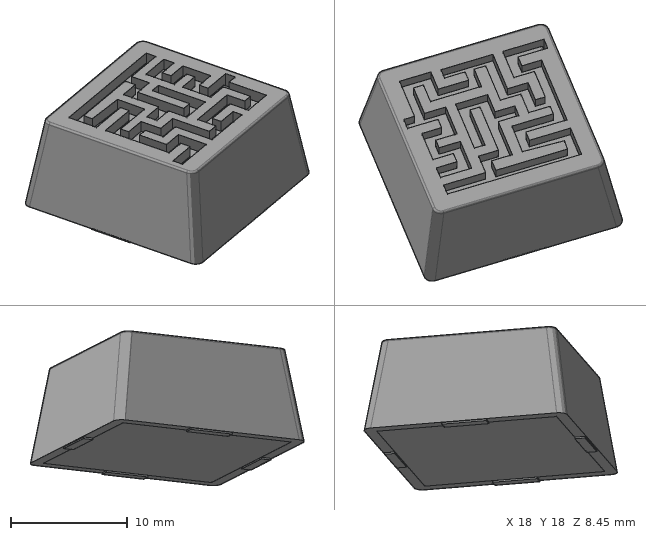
import cadquery as cq
import math

TOTAL_HEIGHT = 8.45
BASE_WIDTH = 18.0
TOP_WIDTH = 15.5
SHELL_HEIGHT = 8.3
CORNER_RADIUS = 0.75
TOP_ROUNDING = 0.2
WALL = 1.0
DRAFT = math.atan((BASE_WIDTH - TOP_WIDTH) / 2 / SHELL_HEIGHT)

FOOT_COUNT = 4
FOOT_LENGTH = 3.96
FOOT_DEPTH = 0.9
FOOT_INSET = 0.1
FOOT_HEIGHT = TOTAL_HEIGHT - SHELL_HEIGHT

CORE_WIDTH = BASE_WIDTH - 2 * WALL / math.cos(DRAFT)
CORE_HEIGHT = SHELL_HEIGHT - WALL

MAZE_OUTLINE = [
    (-6.1, 6.1), (-5.13, 6.1), (-5.13, 2.29), (-3.33, 2.29), (-3.33, 0.49),
    (1.39, 0.49), (1.39, 1.39), (-2.43, 1.39), (-2.43, 2.35), (2.35, 2.35),
    (2.35, -0.55), (0.49, -0.55), (0.49, -2.35), (-0.55, -2.35), (-0.55, -0.49),
    (-4.15, -0.49), (-4.15, 1.39), (-5.2, 1.39), (-5.2, -5.13), (-4.3, -5.18),
    (-4.15, -1.4), (-1.39, -1.44), (-1.39, -5.2), (-0.55, -5.2), (-0.55, -3.25),
    (1.45, -3.25), (1.45, -1.39), (5.2, -1.39), (5.2, -0.35), (3.33, -0.35),
    (3.33, 4.3), (5.13, 4.3), (5.13, 5.2), (2.35, 5.2), (2.35, 3.25),
    (-0.55, 3.25), (-0.55, 5.2), (-1.39, 5.2), (-1.39, 3.25), (-4.3, 3.25),
    (-4.3, 6.1), (-3.25, 6.1), (-3.25, 4.23), (-2.35, 4.23), (-2.35, 6.1),
    (0.49, 6.1), (0.49, 4.3), (1.39, 4.3), (1.39, 7.07), (2.35, 7.07),
    (2.35, 6.1), (6.17, 6.1), (6.17, 3.25), (4.3, 3.25), (4.3, 0.49),
    (5.2, 0.49), (5.2, 2.35), (6.1, 2.35), (6.1, -2.35), (2.35, -2.35),
    (2.35, -4.23), (0.49, -4.23), (0.49, -5.13), (3.25, -5.13), (3.25, -3.25),
    (6.1, -3.25), (6.1, -7.0), (5.13, -7.0), (5.13, -4.3), (4.15, -4.3),
    (4.15, -6.1), (-2.35, -6.1), (-2.35, -2.35), (-3.25, -2.35), (-3.25, -6.1),
    (-6.1, -6.1),
]


def drafted_block(width, height):
    """Square block standing on Z = 0, with all four sides leaning inwards."""
    return cq.Workplane("XY").rect(width, width).extrude(height, taper=math.degrees(DRAFT))


def round_corners(block):
    """Round the four leaning corner edges, which are the only ones not along X or Y."""
    return block.edges("not(|X or |Y)").fillet(CORNER_RADIUS)


def round_top(block):
    return block.faces(">Z").edges().fillet(TOP_ROUNDING)


def make_core():
    return round_top(drafted_block(CORE_WIDTH, CORE_HEIGHT))


def make_foot(angle):
    """Flat foot below the rim on the +X side, turned about Z by angle."""
    center_x = BASE_WIDTH / 2 - FOOT_INSET - FOOT_DEPTH / 2
    foot = cq.Workplane("XY").center(center_x, 0).rect(FOOT_DEPTH, FOOT_LENGTH).extrude(-FOOT_HEIGHT)
    return foot.rotate((0, 0, 0), (0, 0, 1), angle)


def make_shell(core):
    """Shell with the core's cavity; the maze goes down until it meets the core."""
    shell = round_top(round_corners(drafted_block(BASE_WIDTH, SHELL_HEIGHT)))
    maze = cq.Workplane("XY").polyline(MAZE_OUTLINE).close().extrude(SHELL_HEIGHT)
    shell = shell.cut(maze).cut(core)
    for side in range(FOOT_COUNT):
        shell = shell.union(make_foot(side * 360 / FOOT_COUNT))
    return shell


core = make_core()
shell = make_shell(core)
result = cq.Compound.makeCompound([shell.val(), core.val()])